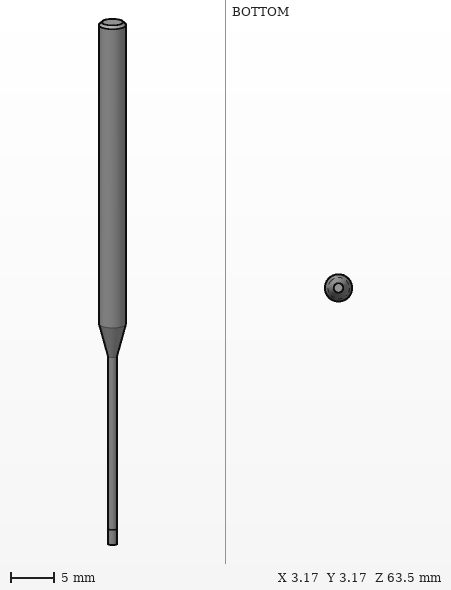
import cadquery as cq

overall_length = 63.5
shank_diameter = 3.175
neck_diameter = 1.09
tip_length = 1.85
neck_end_height = 22.86
taper_length = 3.95
chamfer = 0.35

shank_radius = shank_diameter / 2
neck_radius = neck_diameter / 2
taper_top_height = neck_end_height + taper_length


def make_cutting_tip():
    """Plain cylinder at the bottom end, flush with the neck above it."""
    return cq.Workplane("XY").circle(neck_radius).extrude(tip_length)


def make_shank():
    """Neck, taper and shank turned in one piece, with a chamfered top end."""
    return (
        cq.Workplane("XZ")
        .moveTo(0, tip_length)
        .lineTo(neck_radius, tip_length)
        .lineTo(neck_radius, neck_end_height)
        .lineTo(shank_radius, taper_top_height)
        .lineTo(shank_radius, overall_length - chamfer)
        .lineTo(shank_radius - chamfer, overall_length)
        .lineTo(0, overall_length)
        .close()
        .revolve(360, (0, 0), (0, 1))
    )


cutting_tip = make_cutting_tip()
shank = make_shank()

result = cq.Compound.makeCompound([cutting_tip.val(), shank.val()])